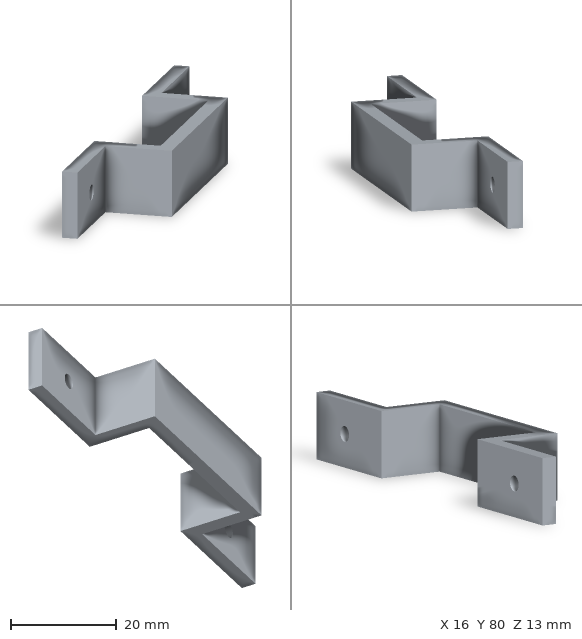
import cadquery as cq

length = 80.0
depth = 16.0
height = 13.0

bridge_outer = 40.0
bridge_inner = 34.0
wall = (bridge_outer - bridge_inner) / 2

hole_diameter = 3.0
flange_length = (length - bridge_outer) / 2
hole_offset = length / 2 - flange_length / 2


def hat_strip():
    """Strip of constant thickness bent into a hat, mirrored about the XZ plane."""
    half_outline = [
        (depth, 0),
        (depth, bridge_outer / 2),
        (wall, bridge_outer / 2),
        (wall, length / 2),
        (0, length / 2),
        (0, bridge_inner / 2),
        (depth - wall, bridge_inner / 2),
        (depth - wall, 0),
    ]
    half = cq.Workplane("XY").polyline(half_outline).close().extrude(height)
    return half.union(half.mirror("XZ")).clean()


def mounting_holes():
    """Cylinders along X that pass through both flanges at mid height."""
    centres = [(-hole_offset, height / 2), (hole_offset, height / 2)]
    return cq.Workplane("YZ").pushPoints(centres).circle(hole_diameter / 2).extrude(wall)


result = hat_strip().cut(mounting_holes())